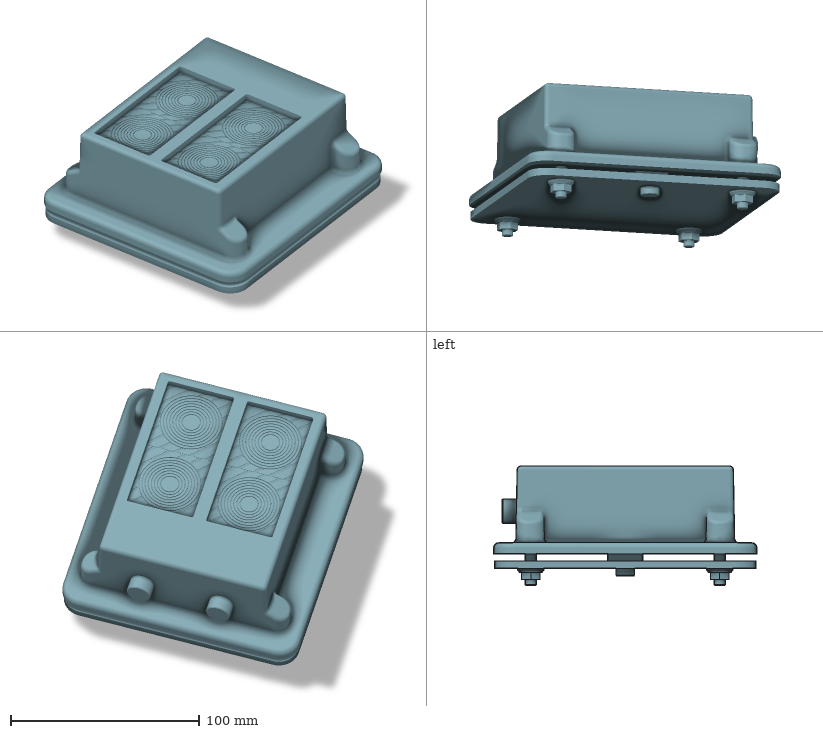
import cadquery as cq
import math

NUT_BOTTOM = 3.1
NUT_TOP = 6.9
PLATE_BOTTOM = 9.1
PLATE_TOP = 13.0
FLANGE_BOTTOM = 16.8
FLANGE_TOP = 22.7
HOUSING_TOP = 63.5

FLANGE_X = 131.0
FLANGE_Y = 140.0
PLATE_INSET = 0.5
CORNER_RADIUS = 11.0
FLANGE_EDGE_RADIUS = 2.8

HOUSING_X = 94.1
HOUSING_Y = 116.5
DRAFT_ANGLE = 1.0
HOUSING_RADIUS = 2.2
BOSS_REACH = 57.8
BOSS_INNER_Y = 43.0
BOSS_CORNER_RADIUS = 6.7
BOSS_SHOULDER_Z = 33.6
BOSS_SLOPE_ANGLE = 30.0

WINDOW_X = 36.8
WINDOW_Y = 77.8
WINDOW_DEPTH = 4.2
WINDOW_CORNER_RADIUS = 1.1
WINDOW_CENTRE_X = 22.0
WINDOW_CENTRE_Y = -13.5
MODULE_PITCH = 40.0
RING_COUNT = 8
RING_FIRST_RADIUS = 4.9
RING_LAST_RADIUS = 16.5
RING_WIDTH = 0.5
RING_DEPTH = 0.5
STRIPE_SPACING = 6.0
STRIPE_WIDTH = 1.7
STRIPE_DEPTH = 0.3
STRIPE_ANGLE = 45.0
STRIPES_EACH_SIDE = 4
STRIPE_FREE_RADIUS = 17.0
SEAM_WIDTH = 0.3

INLET_DIAMETER = 13.0
INLET_END_Y = 65.5
INLET_Z = 39.5
INLET_ROOT = 2.8

BOLT_X = 51.0
BOLT_Y = 50.3
BOLT_DIAMETER = 6.0
NUT_FLATS = 10.0
NUT_FLANGE_DIAMETER = 14.0
NUT_FLANGE_TIP_DIAMETER = 11.8
NUT_FLANGE_RIM = 0.8

CONNECTOR_X = 47.5
CONNECTOR_LENGTH_X = 11.2
CONNECTOR_LENGTH_Y = 18.6
CONNECTOR_RADIUS = 1.8
STUD_DIAMETER = 10.0
STUD_BOTTOM = 5.0

SMALL_CHAMFER = 0.4

SELECT_MARGIN = 1.4
FOOT_SELECT_HEIGHT = 0.1
CUT_MARGIN = 1.4
UPRIGHT_LIMIT = 0.9

MODULE_FACE_Z = HOUSING_TOP - WINDOW_DEPTH
HOUSING_HEIGHT = HOUSING_TOP - FLANGE_TOP
RING_STEP = (RING_LAST_RADIUS - RING_FIRST_RADIUS) / (RING_COUNT - 1)


def slab(size_x, size_y, bottom, top, radius):
    """Flat block with rounded vertical corners, centred on the Z axis."""
    block = cq.Workplane("XY", origin=(0, 0, bottom)).rect(size_x, size_y).extrude(top - bottom)
    return block.edges("|Z").fillet(radius)


def mirrored(quarter):
    """Repeat a solid in all four XY quadrants."""
    half = quarter.union(quarter.mirror("YZ"))
    return half.union(half.mirror("XZ"))


def boss():
    """Drafted corner boss whose top slopes down from the housing wall."""
    outer_y = HOUSING_Y / 2
    length_y = outer_y - BOSS_INNER_Y
    block = (
        cq.Workplane("XY", origin=(0, (outer_y + BOSS_INNER_Y) / 2, FLANGE_TOP))
        .rect(2 * BOSS_REACH, length_y)
        .extrude(HOUSING_HEIGHT, taper=DRAFT_ANGLE)
    )
    rise = BOSS_REACH * math.tan(math.radians(BOSS_SLOPE_ANGLE))
    slope = (
        cq.Workplane("XZ", origin=(0, 2 * outer_y, 0))
        .polyline([
            (0, FLANGE_TOP),
            (BOSS_REACH, FLANGE_TOP),
            (BOSS_REACH, BOSS_SHOULDER_Z),
            (0, BOSS_SHOULDER_Z + rise),
        ])
        .close()
        .extrude(2 * outer_y)
    )
    corners = cq.selectors.BoxSelector(
        (BOSS_REACH - SELECT_MARGIN, 0, FLANGE_TOP + SELECT_MARGIN),
        (BOSS_REACH + SELECT_MARGIN, HOUSING_Y, HOUSING_TOP - SELECT_MARGIN),
    )
    return block.edges(corners).fillet(BOSS_CORNER_RADIUS).intersect(slope)


def housing():
    """Drafted housing with its bosses, standing on the rounded flange."""
    body = (
        cq.Workplane("XY", origin=(0, 0, FLANGE_TOP))
        .rect(HOUSING_X, HOUSING_Y)
        .extrude(HOUSING_HEIGHT, taper=DRAFT_ANGLE)
    )
    body = body.union(mirrored(boss()))
    body = body.newObject(sharp_housing_edges(body)).fillet(HOUSING_RADIUS)

    flange = slab(FLANGE_X, FLANGE_Y, FLANGE_BOTTOM, FLANGE_TOP, CORNER_RADIUS)
    flange = flange.faces(">Z").edges().fillet(FLANGE_EDGE_RADIUS)
    joined = flange.union(body)
    foot = cq.selectors.BoxSelector(
        (-BOSS_REACH - SELECT_MARGIN, -HOUSING_Y / 2 - SELECT_MARGIN, FLANGE_TOP - FOOT_SELECT_HEIGHT),
        (BOSS_REACH + SELECT_MARGIN, HOUSING_Y / 2 + SELECT_MARGIN, FLANGE_TOP + FOOT_SELECT_HEIGHT),
    )
    return joined.edges(foot).fillet(HOUSING_RADIUS)


def sharp_housing_edges(body):
    """Edges above the foot, without the smooth seams that run up the boss corners."""
    sharp = []
    for edge in body.edges().vals():
        centre = edge.Center()
        is_foot = centre.z < FLANGE_TOP + FOOT_SELECT_HEIGHT
        is_upright = abs(edge.tangentAt(0.5).z) > UPRIGHT_LIMIT
        is_seam = is_upright and abs(centre.x) > HOUSING_X / 2
        if not is_foot and not is_seam:
            sharp.append(edge)
    return sharp


def window_cutter():
    """Pocket for one window, with shallow rings, stripes and a seam in its floor."""
    cutter = slab(WINDOW_X, WINDOW_Y, MODULE_FACE_Z, HOUSING_TOP + CUT_MARGIN, WINDOW_CORNER_RADIUS)
    for side in (-1, 1):
        centre_y = side * MODULE_PITCH / 2
        cutter = cutter.union(stripes(centre_y)).union(rings(centre_y))
    seam = cq.Workplane("XY", origin=(0, 0, MODULE_FACE_Z)).rect(WINDOW_X, SEAM_WIDTH)
    return cutter.union(seam.extrude(-STRIPE_DEPTH))


def rings(centre_y):
    """Concentric grooves of one module."""
    floor = cq.Workplane("XY", origin=(0, centre_y, MODULE_FACE_Z))
    grooves = cq.Workplane("XY")
    for index in range(RING_COUNT):
        radius = RING_FIRST_RADIUS + index * RING_STEP
        groove = floor.circle(radius + RING_WIDTH / 2).circle(radius - RING_WIDTH / 2)
        grooves.add(groove.extrude(-RING_DEPTH))
    return grooves.combine()


def stripes(centre_y):
    """Diagonal shallow bands and the split line of one module, kept clear of its rings."""
    side = 1 if centre_y > 0 else -1
    floor = cq.Workplane("XY", origin=(0, centre_y, MODULE_FACE_Z))
    bands = floor.rect(WINDOW_X, SEAM_WIDTH).extrude(-STRIPE_DEPTH)
    for index in range(-STRIPES_EACH_SIDE, STRIPES_EACH_SIDE + 1):
        band = (
            floor.transformed(rotate=(0, 0, STRIPE_ANGLE))
            .center(0, index * STRIPE_SPACING)
            .rect(2 * MODULE_PITCH, STRIPE_WIDTH)
        )
        bands = bands.union(band.extrude(-STRIPE_DEPTH))
    module_length = WINDOW_Y / 2
    area = (
        cq.Workplane("XY", origin=(0, side * module_length / 2, MODULE_FACE_Z))
        .rect(WINDOW_X, module_length)
        .extrude(-STRIPE_DEPTH)
    )
    area = area.cut(floor.circle(STRIPE_FREE_RADIUS).extrude(-STRIPE_DEPTH))
    return bands.intersect(area)


def inlet():
    """Cable inlet standing out of the back wall."""
    tube = (
        cq.Workplane("XZ", origin=(0, INLET_END_Y, INLET_Z))
        .circle(INLET_DIAMETER / 2)
        .extrude(INLET_END_Y - HOUSING_Y / 2 + INLET_ROOT)
    )
    return tube.faces(">Y").chamfer(SMALL_CHAMFER)


def bolt():
    """Bolt with a hexagonal flange nut, running from below the plate to the flange."""
    shank = cq.Workplane("XY").circle(BOLT_DIAMETER / 2).extrude(FLANGE_BOTTOM)
    shank = shank.faces("<Z").chamfer(SMALL_CHAMFER)
    nut = (
        cq.Workplane("XY", origin=(0, 0, NUT_BOTTOM))
        .polygon(6, NUT_FLATS / math.cos(math.pi / 6))
        .extrude(NUT_TOP - NUT_BOTTOM)
    )
    rim_z = PLATE_BOTTOM - NUT_FLANGE_RIM
    nut_flange = (
        cq.Workplane("XZ")
        .moveTo(0, NUT_TOP)
        .lineTo(NUT_FLANGE_TIP_DIAMETER / 2, NUT_TOP)
        .lineTo(NUT_FLANGE_DIAMETER / 2, rim_z)
        .lineTo(NUT_FLANGE_DIAMETER / 2, PLATE_BOTTOM)
        .lineTo(0, PLATE_BOTTOM)
        .close()
        .revolve()
    )
    return shank.union(nut).union(nut_flange).translate((BOLT_X, BOLT_Y, 0))


def connector():
    """Block in the gap, with a round stud that passes through the plate."""
    block = slab(CONNECTOR_LENGTH_X, CONNECTOR_LENGTH_Y, PLATE_TOP, FLANGE_BOTTOM, CONNECTOR_RADIUS)
    stud = (
        cq.Workplane("XY", origin=(0, 0, STUD_BOTTOM))
        .circle(STUD_DIAMETER / 2)
        .extrude(PLATE_TOP - STUD_BOTTOM)
    )
    stud = stud.faces("<Z").chamfer(SMALL_CHAMFER)
    return block.union(stud).translate((CONNECTOR_X, 0, 0))


def plate():
    """Clamping plate, slightly smaller than the flange."""
    size_x = FLANGE_X - 2 * PLATE_INSET
    size_y = FLANGE_Y - 2 * PLATE_INSET
    return slab(size_x, size_y, PLATE_BOTTOM, PLATE_TOP, CORNER_RADIUS)


result = housing()
window = window_cutter()
for side in (-1, 1):
    centre_x = side * WINDOW_CENTRE_X
    result = result.cut(window.translate((centre_x, WINDOW_CENTRE_Y, 0)))
    result = result.union(inlet().translate((centre_x, 0, 0)))
result = result.union(plate()).union(mirrored(bolt())).union(connector())
result = result.solids()